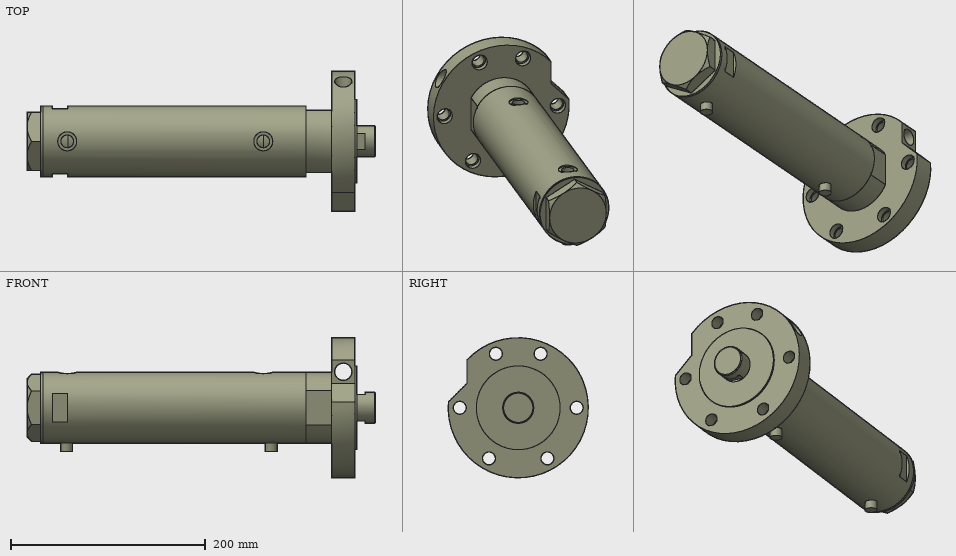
import cadquery as cq
import math


tube_diameter = 73.0
tube_start = 16.5
tube_end = 286.5
bore_diameter = 50.0
tube_flats_width = 67.0
tube_flats_start = 26.0
tube_flats_length = 15.5

rear_port_x = 41.2
front_port_x = 242.4
port_diameter = 13.0
spotface_diameter = 19.5
spotface_height = 35.0

stub_positions = (40.6, 250.6)
stub_diameter = 12.5
stub_tip_drop = 45.0

hex_width = 60.0
hex_length = 14.0
cap_spigot_end = rear_port_x + 1.0

head_spigot_diameter = 60.0
head_spigot_start = front_port_x
neck_flats_width = 64.0
flange_diameter = 144.0
flange_start = 312.5
flange_thickness = 24.0
flange_end = flange_start + flange_thickness
pilot_diameter = 86.0
pilot_end = flange_end + 2.0

notch_depth_y = 52.75
notch_corner_z = 25.0
cross_hole_diameter = 17.5
cross_hole_z = 37.0

bolt_circle_radius = 60.0
bolt_angles = (0.0, 67.5, 112.5, 180.0, 240.0, 300.0)
bolt_hole_diameter = 13.0
counterbore_diameter = 16.0
counterbore_depth = 7.0

piston_length = 30.0
rod_diameter = 32.0
rod_end = 357.5
rod_chamfer = 1.0
rod_flats_width = 27.5
rod_flats_end = 347.0


def cylinder_x(diameter, start, end):
    """Solid cylinder on the X axis between two stations."""
    return cq.Workplane("YZ", origin=(start, 0, 0)).circle(diameter / 2).extrude(end - start)


def cylinder_z(x, diameter, bottom, top):
    """Solid vertical cylinder that crosses the X axis at x."""
    return cq.Workplane("XY", origin=(x, 0, bottom)).circle(diameter / 2).extrude(top - bottom)


def slab_x(width_y, width_z, start, end):
    """Box centred on the X axis between two stations."""
    return cq.Workplane("YZ", origin=(start, 0, 0)).rect(width_y, width_z).extrude(end - start)


def make_tube():
    radius = tube_diameter / 2
    tube = cylinder_x(tube_diameter, tube_start, tube_end)

    flats_end = tube_flats_start + tube_flats_length
    flats = slab_x(tube_diameter, tube_diameter, tube_flats_start, flats_end).cut(
        slab_x(tube_flats_width, tube_diameter, tube_flats_start, flats_end)
    )
    tube = tube.cut(flats)

    for x in stub_positions:
        tube = tube.union(cylinder_z(x, stub_diameter, -stub_tip_drop, 0))

    for x in (rear_port_x, front_port_x):
        tube = tube.cut(cylinder_z(x, port_diameter, 0, radius))
        tube = tube.cut(cylinder_z(x, spotface_diameter, spotface_height, radius))

    tube = tube.cut(cylinder_x(bore_diameter, tube_start, tube_end))
    return tube.cut(cylinder_x(head_spigot_diameter, head_spigot_start, tube_end))


def make_cap():
    corner_diameter = hex_width / math.cos(math.pi / 6)
    hexagon = (
        cq.Workplane("YZ")
        .transformed(rotate=(0, 0, 90))
        .polygon(6, corner_diameter)
        .extrude(hex_length)
    )
    cone_end_radius = hex_width / 2 + hex_length
    cone = (
        cq.Workplane("XY")
        .polyline([(0, 0), (0, hex_width / 2), (hex_length, cone_end_radius), (hex_length, 0)])
        .close()
        .revolve(360, (0, 0, 0), (1, 0, 0))
    )
    collar = cylinder_x(tube_diameter, hex_length, tube_start)
    spigot = cylinder_x(bore_diameter, tube_start, cap_spigot_end)
    return hexagon.intersect(cone).union(collar).union(spigot)


def make_flange():
    radius = flange_diameter / 2
    flange = cylinder_x(flange_diameter, flange_start, flange_end)

    notch = (
        cq.Workplane("YZ", origin=(flange_start, 0, 0))
        .moveTo(-notch_depth_y, radius)
        .lineTo(-notch_depth_y, notch_corner_z)
        .lineTo(-radius, notch_corner_z - (radius - notch_depth_y))
        .lineTo(-radius, radius)
        .close()
        .extrude(flange_thickness)
    )
    flange = flange.cut(notch)

    cross_hole = (
        cq.Workplane("XZ", origin=(flange_start + flange_thickness / 2, radius, cross_hole_z))
        .circle(cross_hole_diameter / 2)
        .extrude(flange_diameter)
    )
    flange = flange.cut(cross_hole)

    for angle in bolt_angles:
        y = bolt_circle_radius * math.cos(math.radians(angle))
        z = bolt_circle_radius * math.sin(math.radians(angle))
        hole = (
            cq.Workplane("YZ", origin=(flange_start, y, z))
            .circle(bolt_hole_diameter / 2)
            .extrude(flange_thickness)
        )
        counterbore = (
            cq.Workplane("YZ", origin=(flange_start, y, z))
            .circle(counterbore_diameter / 2)
            .extrude(counterbore_depth)
        )
        flange = flange.cut(hole).cut(counterbore)
    return flange


def make_head():
    spigot = cylinder_x(head_spigot_diameter, head_spigot_start, tube_end)
    neck = cylinder_x(tube_diameter, tube_end, flange_start).intersect(
        slab_x(neck_flats_width, tube_diameter, tube_end, flange_start)
    )
    pilot = cylinder_x(pilot_diameter, flange_end, pilot_end)
    head = make_flange().union(neck).union(spigot).union(pilot)
    return head.cut(cylinder_x(rod_diameter, head_spigot_start, pilot_end))


def make_piston():
    piston_end = cap_spigot_end + piston_length
    piston = cylinder_x(bore_diameter, cap_spigot_end, piston_end)
    return piston.cut(cylinder_x(rod_diameter, cap_spigot_end, piston_end))


def make_rod():
    rod = cylinder_x(rod_diameter, cap_spigot_end, rod_end).faces(">X").chamfer(rod_chamfer)
    flats = slab_x(rod_diameter, rod_diameter, pilot_end, rod_flats_end).cut(
        slab_x(rod_diameter, rod_flats_width, pilot_end, rod_flats_end)
    )
    return rod.cut(flats)


tube = make_tube()
cap = make_cap()
head = make_head()
piston = make_piston()
rod = make_rod()

result = cq.Compound.makeCompound([tube.val(), cap.val(), head.val(), piston.val(), rod.val()])